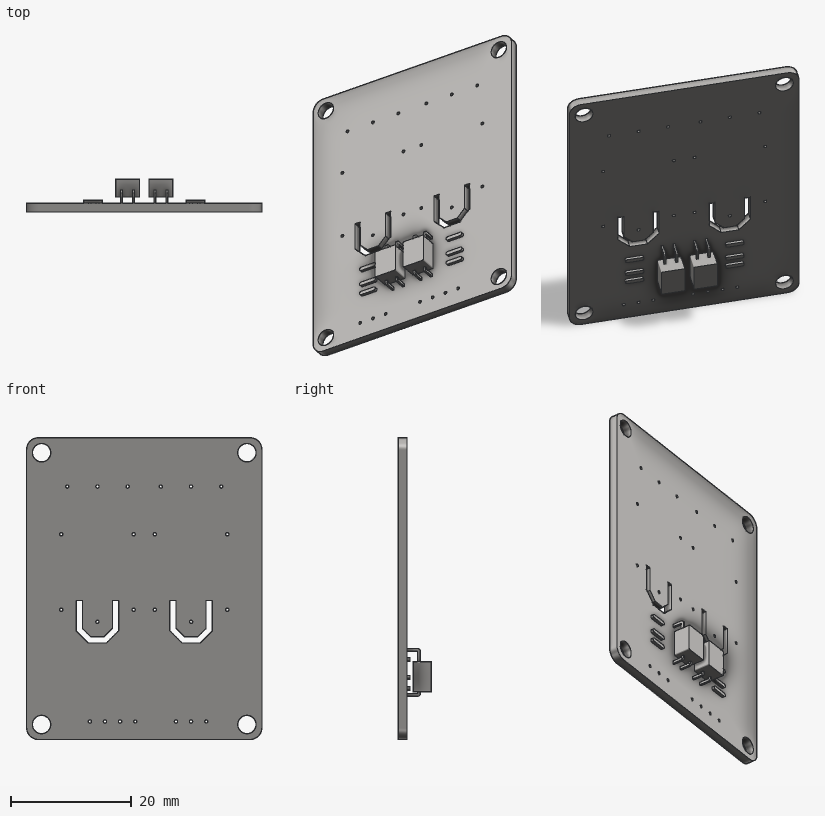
import cadquery as cq

board_width = 39.0
board_height = 50.0
board_thickness = 1.5
board_corner_radius = 2.0
overall_depth = 5.5

mount_hole_diameter = 3.0
mount_hole_inset = 2.5
mount_hole_x = board_width / 2 - mount_hole_inset
mount_hole_z = board_height / 2 - mount_hole_inset

lead_hole_diameter = 0.5
pin_pitch = 2.5
group_center_x = 7.75
header_pitch = 5.0
header_z = 16.9
switch_span_x = 12.0
switch_top_z = 9.0
switch_bottom_z = -3.5
tongue_hole_z = -5.5
connector_z = -22.0
left_connector_first_x = -9.0
left_connector_pins = 4
right_connector_pins = 3

slot_outer_width = 7.0
slot_top_z = -2.0
slot_bottom_z = -9.0
slot_wall = 1.0
slot_outer_chamfer = 2.0
slot_inner_chamfer = slot_outer_chamfer - slot_wall * (2 - 2**0.5)

sensor_x = 2.75
sensor_width = 4.0
sensor_depth = 3.0
sensor_height = 5.0
sensor_center_z = -14.6
sensor_edge_radius = 0.2

lead_spacing = 2.0
lead_width = 0.35
lead_thickness = 0.5
lead_back_y = 3.7
lead_top_z = -9.9
lead_bottom_z = -17.85

bar_x = 8.5
bar_length = 3.1
bar_width = 0.65
bar_thickness = 0.5
bar_rows_z = (-11.75, -14.7, -16.55)


def back_plane(y):
    """Sketch plane facing -Y at depth y, with local axes along +X and +Z."""
    return cq.Workplane("XZ", origin=(0, y, 0))


def make_board():
    outline = back_plane(0).rect(board_width, board_height)
    return outline.extrude(-board_thickness).edges("|Y").fillet(board_corner_radius)


def make_holes(points, diameter):
    return back_plane(0).pushPoints(points).circle(diameter / 2).extrude(-board_thickness)


def mount_hole_points():
    return [(x, z) for x in (-mount_hole_x, mount_hole_x) for z in (-mount_hole_z, mount_hole_z)]


def lead_hole_points():
    points = []
    for center_x in (-group_center_x, group_center_x):
        points += [(center_x + step * header_pitch, header_z) for step in (-1, 0, 1)]
        for side in (-1, 1):
            x = center_x + side * switch_span_x / 2
            points += [(x, switch_top_z), (x, switch_bottom_z)]
        points.append((center_x, tongue_hole_z))
    points += [(left_connector_first_x + i * pin_pitch, connector_z) for i in range(left_connector_pins)]
    right_connector_first_x = group_center_x - pin_pitch * (right_connector_pins - 1) / 2
    points += [(right_connector_first_x + i * pin_pitch, connector_z) for i in range(right_connector_pins)]
    return points


def make_tongue_shape(center_x, width, bottom_z, chamfer):
    """Rectangle hanging from the slot top with both lower corners cut off."""
    height = slot_top_z - bottom_z
    shape = back_plane(0).center(center_x, slot_top_z - height / 2).rect(width, height)
    return shape.extrude(-board_thickness).faces("<Z").edges("|Y").chamfer(chamfer)


def make_slot(center_x):
    outer = make_tongue_shape(center_x, slot_outer_width, slot_bottom_z, slot_outer_chamfer)
    inner_width = slot_outer_width - 2 * slot_wall
    inner = make_tongue_shape(center_x, inner_width, slot_bottom_z + slot_wall, slot_inner_chamfer)
    return outer.cut(inner)


def make_sensor_body(center_x):
    outline = back_plane(overall_depth).center(center_x, sensor_center_z).rect(sensor_width, sensor_height)
    return outline.extrude(sensor_depth).edges("|Y").fillet(sensor_edge_radius)


def make_lead(center_x, outer_z, side):
    """L-shaped lead from the board to the sensor; side is +1 above the sensor, -1 below it."""
    inner_z = outer_z - side * lead_thickness
    inner_y = lead_back_y - lead_thickness
    bend_offset = lead_thickness / 2**0.5
    bend_middle = (inner_y + bend_offset, inner_z + side * bend_offset)
    profile = (
        cq.Workplane("YZ", origin=(center_x, 0, 0))
        .moveTo(board_thickness, outer_z)
        .lineTo(inner_y, outer_z)
        .threePointArc(bend_middle, (lead_back_y, inner_z))
        .lineTo(lead_back_y, sensor_center_z)
        .lineTo(inner_y, sensor_center_z)
        .lineTo(inner_y, inner_z)
        .lineTo(board_thickness, inner_z)
        .close()
    )
    return profile.extrude(lead_width / 2, both=True)


def make_sensor(center_x):
    sensor = make_sensor_body(center_x)
    for offset in (-lead_spacing / 2, lead_spacing / 2):
        sensor = sensor.union(make_lead(center_x + offset, lead_top_z, 1))
        sensor = sensor.union(make_lead(center_x + offset, lead_bottom_z, -1))
    return sensor


def make_bars(center_x):
    points = [(center_x, z) for z in bar_rows_z]
    return back_plane(board_thickness).pushPoints(points).slot2D(bar_length, bar_width).extrude(-bar_thickness)


result = make_board()
result = result.cut(make_holes(mount_hole_points(), mount_hole_diameter))
result = result.cut(make_holes(lead_hole_points(), lead_hole_diameter))
for mirror_side in (-1, 1):
    result = result.cut(make_slot(mirror_side * group_center_x))
    result = result.union(make_sensor(mirror_side * sensor_x))
    result = result.union(make_bars(mirror_side * bar_x))